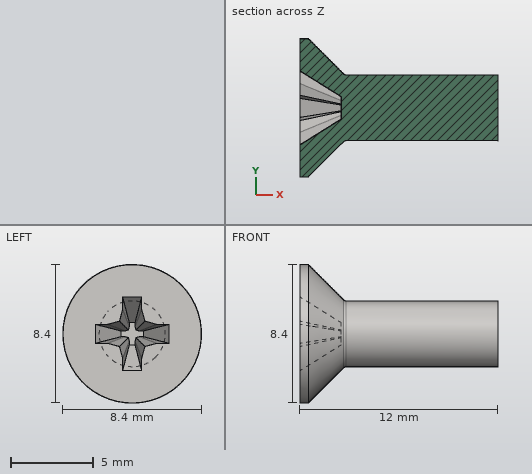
import cadquery as cq
import math

total_length = 12.0
head_radius = 8.4 / 2
shank_radius = 4.0 / 2
rim_length = 0.5
neck_fillet_radius = 0.2

recess_depth = 2.5
recess_reach = 2.23
wing_half_width = 0.58
flare_start = 1.48
inner_corner = 0.77
floor_reach = 0.67
floor_scale = floor_reach / recess_reach

cone_angle = math.radians(45)
cone_end = rim_length + (head_radius - shank_radius) / math.tan(cone_angle)
fillet_tangent = neck_fillet_radius * math.tan(cone_angle / 2)
fillet_start_x = cone_end - fillet_tangent * math.cos(cone_angle)
fillet_start_radius = shank_radius + fillet_tangent * math.sin(cone_angle)
fillet_end_x = cone_end + fillet_tangent
fillet_mid_x = fillet_end_x - neck_fillet_radius * math.sin(cone_angle / 2)
fillet_mid_radius = shank_radius + neck_fillet_radius * (1 - math.cos(cone_angle / 2))


def make_body():
    """Revolve the rim, cone, neck fillet and shank about the X axis."""
    return (
        cq.Workplane("XY")
        .lineTo(0, head_radius)
        .lineTo(rim_length, head_radius)
        .lineTo(fillet_start_x, fillet_start_radius)
        .threePointArc(
            (fillet_mid_x, fillet_mid_radius),
            (fillet_end_x, shank_radius),
        )
        .lineTo(total_length, shank_radius)
        .lineTo(total_length, 0)
        .close()
        .revolve(360, (0, 0, 0), (1, 0, 0))
    )


def cross_outline(scale):
    """Return the four-wing outline, built one quarter turn at a time."""
    wing = [
        (recess_reach, -wing_half_width),
        (recess_reach, wing_half_width),
        (flare_start, wing_half_width),
        (inner_corner, inner_corner),
        (wing_half_width, flare_start),
    ]
    points = []
    for _ in range(4):
        points += [(scale * y, scale * z) for y, z in wing]
        wing = [(-z, y) for y, z in wing]
    return points


def make_recess():
    """Loft the tapered cross from the head face down to its flat floor."""
    return (
        cq.Workplane("YZ")
        .polyline(cross_outline(1.0))
        .close()
        .workplane(offset=recess_depth)
        .polyline(cross_outline(floor_scale))
        .close()
        .loft(ruled=True)
    )


result = make_body().cut(make_recess())